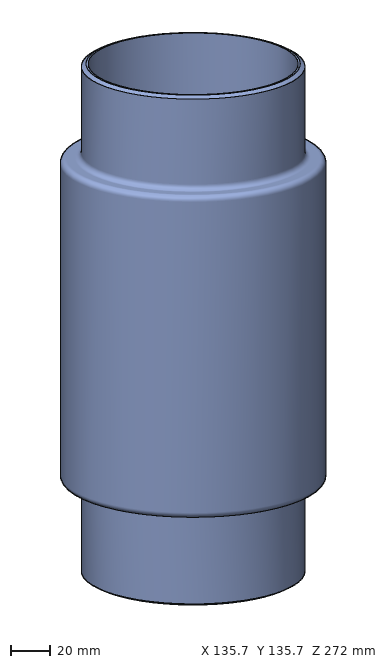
import cadquery as cq

TOTAL_LENGTH = 272.0
SLEEVE_DIAMETER = 135.7
PIPE_DIAMETER = 114.2
WALL_THICKNESS = 3.5
PIPE_END_LENGTH = 50.0

SLEEVE_RIM_RADIUS = 3.0
PIPE_ROOT_RADIUS = 3.0
BEVEL_HEIGHT = 1.4
BEVEL_WIDTH = 2.5

BORE_DIAMETER = PIPE_DIAMETER - 2 * WALL_THICKNESS
SLEEVE_LENGTH = TOTAL_LENGTH - 2 * PIPE_END_LENGTH


def centered_cylinder(diameter, length):
    """Cylinder along Z, centred on the origin."""
    return cq.Workplane("XY").circle(diameter / 2).extrude(length / 2, both=True)


sleeve = centered_cylinder(SLEEVE_DIAMETER, SLEEVE_LENGTH).edges("%CIRCLE").fillet(SLEEVE_RIM_RADIUS)

pipe_radius = PIPE_DIAMETER / 2
pipe_half_profile = (
    cq.Workplane("XZ")
    .lineTo(pipe_radius, 0)
    .lineTo(pipe_radius, TOTAL_LENGTH / 2 - BEVEL_HEIGHT)
    .lineTo(pipe_radius - BEVEL_WIDTH, TOTAL_LENGTH / 2)
    .lineTo(0, TOTAL_LENGTH / 2)
    .close()
)
upper_pipe = pipe_half_profile.revolve(360, (0, 0), (0, 1))
pipe = upper_pipe.union(upper_pipe.mirror("XY")).clean()

body = sleeve.union(pipe)

for sleeve_face in (">Z[1]", "<Z[1]"):
    root = body.faces("|Z").faces(sleeve_face).edges(cq.selectors.RadiusNthSelector(0))
    body = root.fillet(PIPE_ROOT_RADIUS)

result = body.cut(centered_cylinder(BORE_DIAMETER, TOTAL_LENGTH))